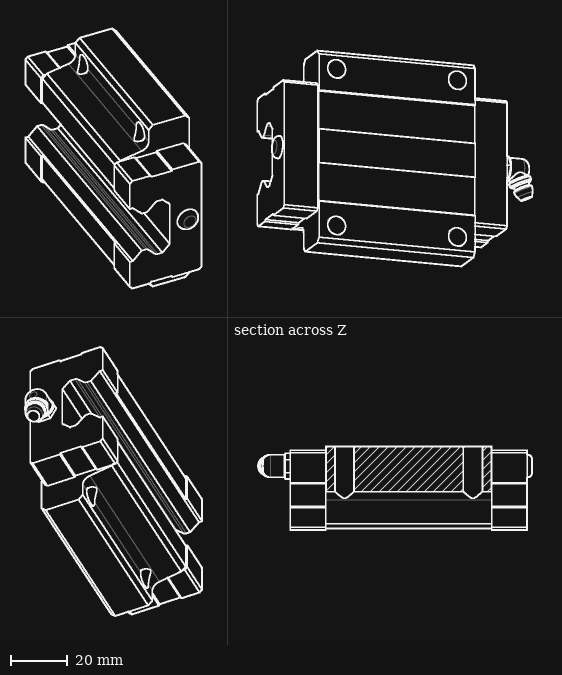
import cadquery as cq
import math


body_length = 58.2
body_rail_face = 0.6
mount_face = 29.5
flange_width = 70.0
flange_back = 13.5
flange_chamfer = 1.6
skirt_half_width = 23.6
skirt_chamfer = 1.7
skirt_draft = 10.0
flange_root_radius = 3.3

relief_depth = 0.3
relief_inner = 6.2
relief_outer = 20.2

hole_diameter = 6.6
hole_pitch_x = 45.05
hole_pitch_z = 57.0

overall_cap_length = 83.2
cap_top = 28.1
cap_half_width = 23.3
cap_chamfer = 1.0
groove_low = 7.9
groove_high = 16.7
groove_depth = 0.6
groove_high_run = 0.3

slot_floor = 15.6
slot_half_width = 11.5
slot_floor_half = 8.6
lip_land = 1.2
crest_half_gap = 8.0
crest_start = lip_land + slot_half_width - crest_half_gap
crest_end = 6.7
race_radius = 1.4

port_y = 22.5
port_diameter = 8.0
hex_length = 1.7
hex_flats = 7.9
collar_length = 0.4
collar_diameter = 8.7
elbow_reach = 9.6
elbow_round = 2.6
nipple_axis_offset = 5.0
nipple_tilt = 22.5
plug_length = 1.7
plug_round = 1.6

pick_margin = 0.1


def extrude_mirrored(half_outline, length):
    """Extrude a (y, z) half outline, centred on X = 0, and mirror it about Z = 0."""
    half = half_outline.close().extrude(length).translate((-length / 2, 0, 0))
    return half.union(half.mirror("XY"))


def make_body():
    edge = flange_width / 2
    skirt_start = body_rail_face + skirt_chamfer
    root_z = skirt_half_width + (flange_back - skirt_start) * math.tan(math.radians(skirt_draft))
    outline = (
        cq.Workplane("YZ")
        .moveTo(body_rail_face, 0)
        .lineTo(body_rail_face, skirt_half_width - skirt_chamfer)
        .lineTo(skirt_start, skirt_half_width)
        .lineTo(flange_back, root_z)
        .lineTo(flange_back, edge - flange_chamfer)
        .lineTo(flange_back + flange_chamfer, edge)
        .lineTo(mount_face - flange_chamfer, edge)
        .lineTo(mount_face, edge - flange_chamfer)
        .lineTo(mount_face, relief_outer)
        .lineTo(mount_face - relief_depth, relief_outer - relief_depth)
        .lineTo(mount_face - relief_depth, relief_inner)
        .lineTo(mount_face, relief_inner)
        .lineTo(mount_face, 0)
    )
    body = extrude_mirrored(outline, body_length)
    for side in (-1, 1):
        root = cq.selectors.BoxSelector(
            (-body_length, flange_back - pick_margin, side * root_z - pick_margin),
            (body_length, flange_back + pick_margin, side * root_z + pick_margin),
        )
        body = body.edges(root).fillet(flange_root_radius)
    return body


def make_cap_block():
    """Full-length block whose two ends stand out of the body as the end caps."""
    outline = (
        cq.Workplane("YZ")
        .moveTo(0, 0)
        .lineTo(0, cap_half_width - cap_chamfer)
        .lineTo(cap_chamfer, cap_half_width)
        .lineTo(groove_low, cap_half_width)
        .lineTo(groove_low + groove_depth, cap_half_width - groove_depth)
        .lineTo(groove_high - groove_high_run, cap_half_width - groove_depth)
        .lineTo(groove_high, cap_half_width)
        .lineTo(cap_top - cap_chamfer, cap_half_width)
        .lineTo(cap_top, cap_half_width - cap_chamfer)
        .lineTo(cap_top, 0)
    )
    block = extrude_mirrored(outline, overall_cap_length)
    gap = cq.Workplane("XY").box(body_length, 2 * mount_face, flange_width)
    return block.cut(gap)


def make_rail_slot():
    """Void left for the rail; the ball-race crest and groove have 45 degree flanks and rounded corners."""
    groove_end = crest_end + slot_half_width - crest_half_gap
    outline = (
        cq.Workplane("YZ")
        .moveTo(0, 0)
        .lineTo(0, slot_half_width)
        .lineTo(lip_land, slot_half_width)
        .lineTo(crest_start, crest_half_gap)
        .lineTo(crest_end, crest_half_gap)
        .lineTo(groove_end, slot_half_width)
        .lineTo(slot_floor + slot_floor_half - slot_half_width, slot_half_width)
        .lineTo(slot_floor, slot_floor_half)
        .lineTo(slot_floor, 0)
    )
    slot = extrude_mirrored(outline, overall_cap_length)
    low = (-overall_cap_length, crest_end - pick_margin, -flange_width)
    high = (overall_cap_length, groove_end + pick_margin, flange_width)
    return slot.edges("|X").edges(cq.selectors.BoxSelector(low, high)).fillet(race_radius)


def make_mounting_holes():
    return (
        cq.Workplane("XZ")
        .rarray(hole_pitch_x, hole_pitch_z, 2, 2)
        .circle(hole_diameter / 2)
        .extrude(-mount_face)
    )


def port_plane(x, direction):
    """Workplane on the port axis at the given X, facing along +X or -X."""
    return cq.Workplane(cq.Plane(origin=(x, port_y, 0), xDir=(0, 1, 0), normal=(direction, 0, 0)))


def make_elbow():
    face = -overall_cap_length / 2
    hex_corners = hex_flats / math.cos(math.pi / 6)
    hexagon = port_plane(face, -1).polygon(6, hex_corners).extrude(hex_length)
    collar = (
        port_plane(face - hex_length, -1)
        .circle(collar_diameter / 2)
        .workplane(offset=collar_length)
        .circle(port_diameter / 2)
        .loft()
    )
    tube_length = elbow_reach - hex_length
    tube = port_plane(face - hex_length, -1).circle(port_diameter / 2).extrude(tube_length)
    tube = tube.faces("<X").edges().fillet(elbow_round)
    return hexagon.union(collar).union(tube)


def make_nipple():
    """Turned nipple; its outline gives the radius against the distance from the elbow axis."""
    stem_radius = 3.6
    stem_end = 3.7
    ring_radius = port_diameter / 2
    ring_start = 4.2
    ring_end = 5.3
    ring_foot = 5.9
    ring_foot_radius = 3.4
    neck_diameter = 5.5
    neck_radius = neck_diameter / 2
    neck_end = 6.9
    head_radius = 3.4
    head_start = 7.4
    head_end = 7.8
    shoulder_radius = 2.9
    shoulder_end = 9.5
    tip_radius = 2.1
    tip_end = 11.1
    axis_x = -overall_cap_length / 2 - nipple_axis_offset
    tilt = math.radians(nipple_tilt)
    plane = cq.Plane(
        origin=(axis_x, port_y, 0),
        xDir=(math.cos(tilt), 0, -math.sin(tilt)),
        normal=(0, 1, 0),
    )
    return (
        cq.Workplane(plane)
        .moveTo(0, 0)
        .lineTo(stem_radius, 0)
        .lineTo(stem_radius, stem_end)
        .lineTo(ring_radius, ring_start)
        .lineTo(ring_radius, ring_end)
        .lineTo(ring_foot_radius, ring_foot)
        .lineTo(neck_radius, ring_foot)
        .lineTo(neck_radius, neck_end)
        .lineTo(head_radius, head_start)
        .lineTo(head_radius, head_end)
        .tangentArcPoint((shoulder_radius, shoulder_end), relative=False)
        .lineTo(tip_radius, tip_end)
        .lineTo(0, tip_end)
        .close()
        .revolve(360, (0, 0), (0, 1))
    )


def make_plug():
    plug = port_plane(overall_cap_length / 2, 1).circle(port_diameter / 2).extrude(plug_length)
    return plug.faces(">X").edges().fillet(plug_round)


carriage = make_body().union(make_cap_block())
carriage = carriage.cut(make_rail_slot()).cut(make_mounting_holes())
result = carriage.union(make_elbow()).union(make_nipple()).union(make_plug())